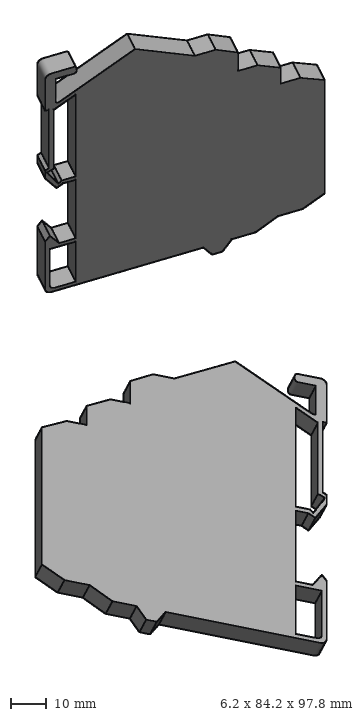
import cadquery as cq
import math

thickness = 6.2
depth = 84.2
height = 97.8
slope = math.tan(math.radians(30))

body_front = 9.2
base_z = 4.1
apex_y = 27.1
shoulder_y = 45.1
shoulder_z = height - (shoulder_y - apex_y) * slope
bevel_drop = 4.0

upper_step = (51.3, 58.1, shoulder_z)
middle_step = (64.0, 71.0, 75.5)
lower_step = (76.9, depth, 64.7)

back_bottom_z = 12.1
under_step_z = 8.2
under_step_outer = 77.6
under_step_inner = 70.1
base_outer = 63.4
key_root = (47.6, 56.2)
key_tip = (50.3, 53.4)

hook_back = 9.5
hook_lip = 2.9
hook_inner = 3.2
hook_foot_z = 82.5
hook_edge_radius = 1.0
hook_root_radius = 0.7
outer_radius = 2.0

strip_outer = 1.2
strip_inner = 2.6
window_top_z = 85.7
strip_end_z = 57.6
catch_top_z = 56.9
catch_bottom_z = 53.6
catch_tip = (3.4, 48.0)
catch_arm_y = 5.5
catch_arm_bottom_z = 49.2
catch_arm_top_z = 50.7
strip_inner_end_z = 56.7
catch_inner_top = (0.6, 55.8)
catch_inner_bottom = (4.0, 49.7)
catch_inner_arm_y = 5.0

foot_wall = 1.5
foot_ledge_z = 24.2
foot_ramp_y = 4.2
foot_peak_z = 28.4
foot_shoulder_z = 26.5
foot_window_radius = 1.5


def plate(points):
    """Extrude a closed (Y, Z) outline through the plate thickness."""
    return cq.Workplane("YZ").polyline(points).close().extrude(thickness)


def round_corner(solid, y, z, radius):
    """Round the edge running along X through the given (Y, Z) corner."""
    margin = 0.1
    corner = cq.selectors.BoxSelector(
        (-margin, y - margin, z - margin),
        (thickness + margin, y + margin, z + margin),
    )
    return solid.edges("|X").edges(corner).fillet(radius)


def step_points(step):
    """Tread end and bevelled nose of one terminal step."""
    inner, outer, tread_z = step
    return [(inner, tread_z), (outer, tread_z - bevel_drop)]


roof_root_z = height - (apex_y - hook_inner) * slope

outline = [
    (apex_y, height),
    (shoulder_y, shoulder_z),
    *step_points(upper_step),
    (upper_step[1], middle_step[2]),
    *step_points(middle_step),
    (middle_step[1], lower_step[2]),
    *step_points(lower_step),
    (depth, back_bottom_z),
    (under_step_outer, under_step_z),
    (under_step_inner, under_step_z),
    (base_outer, base_z),
    (key_root[1], base_z),
    (key_tip[1], 0),
    (key_tip[0], 0),
    (key_root[0], base_z),
    (0, base_z),
    (0, foot_shoulder_z),
    (foot_wall, foot_peak_z),
    (foot_ramp_y, foot_ledge_z),
    (body_front, foot_ledge_z),
    (body_front, catch_arm_bottom_z),
    (catch_arm_y, catch_arm_bottom_z),
    catch_tip,
    (0, catch_bottom_z),
    (0, catch_top_z),
    (strip_outer, strip_end_z),
    (strip_outer, hook_foot_z),
    (0, hook_foot_z),
    (0, height),
    (hook_back, height),
    (hook_back, height - hook_lip),
    (hook_inner, height - hook_lip),
    (hook_inner, roof_root_z),
]
body = plate(outline)
body = round_corner(body, 0, base_z, outer_radius)
body = round_corner(body, 0, height, outer_radius)
body = round_corner(body, hook_back, height, hook_edge_radius)
body = round_corner(body, hook_back, height - hook_lip, hook_edge_radius)
body = round_corner(body, hook_inner, roof_root_z, hook_root_radius)

spring_window = plate([
    (body_front, window_top_z),
    (strip_inner, window_top_z - (body_front - strip_inner) * slope),
    (strip_inner, strip_inner_end_z),
    catch_inner_top,
    catch_inner_bottom,
    (catch_inner_arm_y, catch_arm_top_z),
    (body_front, catch_arm_top_z),
])

foot_window_top = foot_ledge_z - foot_wall
foot_window_bottom = base_z + foot_wall
foot_window = plate([
    (body_front, foot_window_bottom),
    (foot_wall, foot_window_bottom),
    (foot_wall, foot_window_top),
    (body_front, foot_window_top),
])
foot_window = round_corner(foot_window, foot_wall, foot_window_bottom, foot_window_radius)

result = body.cut(spring_window).cut(foot_window)